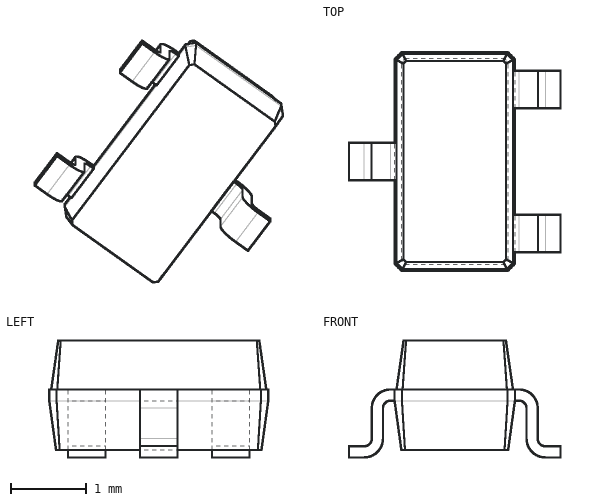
import cadquery as cq

BAND_X, BAND_Y, BAND_CORNER = 1.595, 2.9, 0.1
LOWER_INSET = 0.09
LOWER_CORNER = 0.05
UPPER_STEP = 0.025
UPPER_STEP_CORNER = 0.08
UPPER_INSET = 0.12
UPPER_CORNER = 0.035
BODY_BOTTOM = 0.1
BAND_BOTTOM = 0.75
BODY_TOP = 1.55

LEAD_THICKNESS = 0.15
LEAD_WIDTH = 0.5
LEAD_TIP = 1.4
LEAD_OUTER_FACE = 1.1
INNER_BEND = 0.1
OUTER_BEND = INNER_BEND + LEAD_THICKNESS
LEAD_PITCH = 1.902
LEAD_ROOT = 0.58

BAND_TOP = BAND_BOTTOM + LEAD_THICKNESS


def outline(inset, corner):
    """Body cross-section, inset from the band, with chamfered corners."""
    x = BAND_X / 2 - inset
    y = BAND_Y / 2 - inset
    points = [
        (x, y - corner), (x - corner, y), (corner - x, y), (-x, y - corner),
        (-x, corner - y), (corner - x, -y), (x - corner, -y), (x, corner - y),
    ]
    return cq.Wire.makePolygon([cq.Vector(*p) for p in points], close=True)


def body_section(z_low, low_outline, z_high, high_outline):
    """Ruled solid between two body cross-sections."""
    wires = [
        low_outline.translate(cq.Vector(0, 0, z_low)),
        high_outline.translate(cq.Vector(0, 0, z_high)),
    ]
    return cq.Workplane(cq.Solid.makeLoft(wires, True))


def make_body():
    band = outline(0, BAND_CORNER)
    lower = body_section(BODY_BOTTOM, outline(LOWER_INSET, LOWER_CORNER), BAND_BOTTOM, band)
    middle = body_section(BAND_BOTTOM, band, BAND_TOP, band)
    upper = body_section(
        BAND_TOP, outline(UPPER_STEP, UPPER_STEP_CORNER),
        BODY_TOP, outline(UPPER_INSET, UPPER_CORNER),
    )
    return lower.union(middle).union(upper)


def make_lead(y_centre):
    """Lead on the +X side: root, shoulder bend, upright, foot bend and foot."""
    inner_face = LEAD_OUTER_FACE - LEAD_THICKNESS
    shoulder_x = LEAD_OUTER_FACE - OUTER_BEND
    foot_x = inner_face + OUTER_BEND
    return (
        cq.Workplane("XZ", origin=(0, y_centre + LEAD_WIDTH / 2, 0))
        .moveTo(LEAD_ROOT, BAND_TOP)
        .lineTo(shoulder_x, BAND_TOP)
        .radiusArc((LEAD_OUTER_FACE, BAND_TOP - OUTER_BEND), OUTER_BEND)
        .lineTo(LEAD_OUTER_FACE, OUTER_BEND)
        .radiusArc((foot_x, LEAD_THICKNESS), -INNER_BEND)
        .lineTo(LEAD_TIP, LEAD_THICKNESS)
        .lineTo(LEAD_TIP, 0)
        .lineTo(foot_x, 0)
        .radiusArc((inner_face, OUTER_BEND), OUTER_BEND)
        .lineTo(inner_face, BAND_TOP - OUTER_BEND)
        .radiusArc((shoulder_x, BAND_BOTTOM), -INNER_BEND)
        .lineTo(LEAD_ROOT, BAND_BOTTOM)
        .close()
        .extrude(LEAD_WIDTH)
    )


result = make_body()
for y_centre in (-LEAD_PITCH / 2, LEAD_PITCH / 2):
    result = result.union(make_lead(y_centre))
result = result.union(make_lead(0).mirror("YZ"))